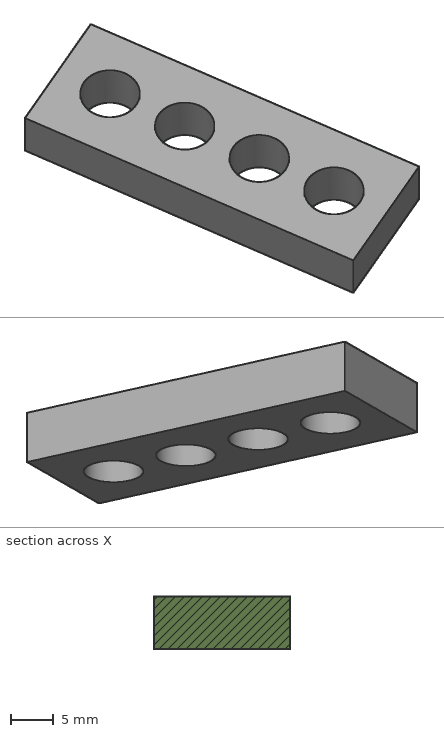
import cadquery as cq

length = 44.0
width = 16.0
thickness = 6.2

hole_diameter = 7.0
hole_count = 4
hole_pitch = 10.0


def make_plate():
    """Rectangular plate centred on the origin."""
    return cq.Workplane("XY").box(length, width, thickness)


def drill_hole_row(plate):
    """Drill the evenly spaced row of through holes from the top face."""
    return (
        plate.faces(">Z")
        .workplane()
        .rarray(hole_pitch, width, hole_count, 1)
        .hole(hole_diameter)
    )


result = drill_hole_row(make_plate())